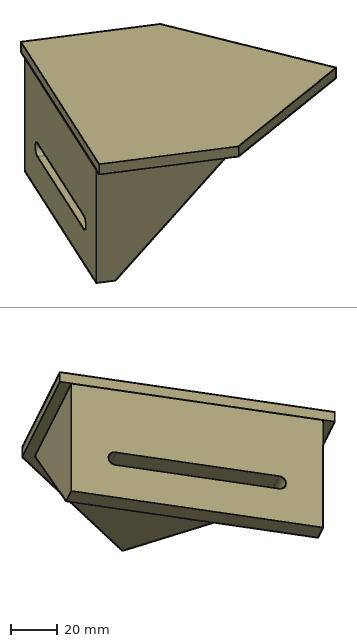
import cadquery as cq

plate_width = 123.1
plate_length = 124.2
plate_thickness = 5.0
shoulder_y = plate_length - plate_width / 2

total_height = 60.0
body_width = 112.8
body_front_y = 0.2
body_top_y = 60.6
body_bottom_y = 8.8
body_height = total_height - plate_thickness

slot_length = 79.5
slot_height = 6.5
slot_center_z = 19.9


def make_plate():
    half_width = plate_width / 2
    outline = [
        (-half_width, 0),
        (half_width, 0),
        (half_width, shoulder_y),
        (0, plate_length),
        (-half_width, shoulder_y),
    ]
    return cq.Workplane("XY").workplane(offset=body_height).polyline(outline).close().extrude(plate_thickness)


def make_body():
    profile = [
        (body_front_y, 0),
        (body_bottom_y, 0),
        (body_top_y, body_height),
        (body_front_y, body_height),
    ]
    return cq.Workplane("YZ").polyline(profile).close().extrude(body_width / 2, both=True)


def make_slot_cutter():
    return (
        cq.Workplane("XZ")
        .center(0, slot_center_z)
        .slot2D(slot_length, slot_height)
        .extrude(-plate_length)
    )


result = make_plate().union(make_body()).cut(make_slot_cutter())